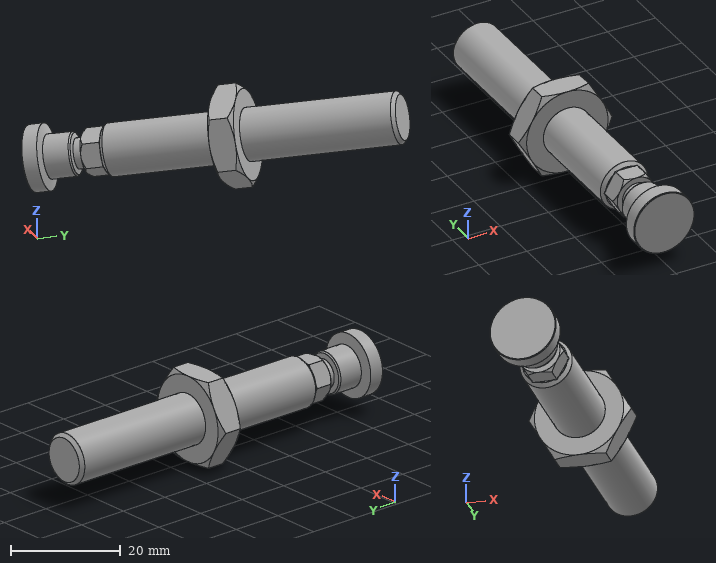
import cadquery as cq
import math

overall_length = 71.3

rod_diameter = 10.0
rod_front = 14.4
rod_chamfer = 0.7
rod_hex_width = 8.0
rod_hex_front = 10.55
rod_hex_chamfer_angle = 45
neck_diameter = 5.8

nut_width = 17.0
nut_thickness = 5.0
nut_front = 36.6
nut_chamfer_angle = 30

foot_diameter = 12.6
foot_rim_height = 3.0
foot_edge_chamfer = 0.15
foot_cone_height = 0.4
collar_diameter = 8.35
collar_chamfer = 0.3
collar_top = 8.6
collar_cone_height = 0.2
foot_top = collar_top + collar_cone_height


def cylinder(diameter, front, length):
    """Cylinder along Y that starts at y = front."""
    return cq.Workplane("XZ", origin=(0, front, 0)).circle(diameter / 2).extrude(-length)


def hex_prism(width, front, length):
    """Hexagonal prism along Y with two corners on the X axis."""
    corner_diameter = width / math.cos(math.pi / 6)
    return cq.Workplane("XZ", origin=(0, front, 0)).polygon(6, corner_diameter).extrude(-length)


def revolve_about_y(points):
    """Solid of revolution from (radius, y) points."""
    return cq.Workplane("XY").polyline(points).close().revolve(360, (0, 0), (0, 1))


def trim_corners(hexagon, width, end, inward, length, angle):
    """Cut the hexagon's corners with a cone that meets the flats at y = end.

    inward is +1 when the hexagon lies behind that end and -1 when it lies in front of it.
    """
    flat_radius = width / 2
    outer_radius = width
    cone_end = end + inward * (outer_radius - flat_radius) * math.tan(math.radians(angle))
    envelope_end = cone_end + inward * length
    envelope = revolve_about_y([
        (0, end),
        (flat_radius, end),
        (outer_radius, cone_end),
        (outer_radius, envelope_end),
        (0, envelope_end),
    ])
    return hexagon.intersect(envelope)


def make_rod():
    shank = cylinder(rod_diameter, rod_front, overall_length - rod_front)
    shank = shank.faces("<Y or >Y").chamfer(rod_chamfer)
    hex_length = rod_front - rod_hex_front
    hexagon = hex_prism(rod_hex_width, rod_hex_front, hex_length)
    hexagon = trim_corners(hexagon, rod_hex_width, rod_hex_front, 1, hex_length, rod_hex_chamfer_angle)
    neck = cylinder(neck_diameter, foot_top, rod_hex_front - foot_top)
    return shank.union(hexagon).union(neck)


def make_nut():
    nut_back = nut_front + nut_thickness
    nut = hex_prism(nut_width, nut_front, nut_thickness)
    for end, inward in ((nut_front, 1), (nut_back, -1)):
        nut = trim_corners(nut, nut_width, end, inward, nut_thickness, nut_chamfer_angle)
    return nut.cut(cylinder(rod_diameter, nut_front, nut_thickness))


def make_foot():
    foot_radius = foot_diameter / 2
    collar_radius = collar_diameter / 2
    return revolve_about_y([
        (0, 0),
        (foot_radius - foot_edge_chamfer, 0),
        (foot_radius, foot_edge_chamfer),
        (foot_radius, foot_rim_height),
        (collar_radius, foot_rim_height + foot_cone_height),
        (collar_radius, collar_top - collar_chamfer),
        (collar_radius - collar_chamfer, collar_top),
        (neck_diameter / 2, foot_top),
        (0, foot_top),
    ])


rod = make_rod()
nut = make_nut()
foot = make_foot()

result = cq.Compound.makeCompound([rod.val(), nut.val(), foot.val()])